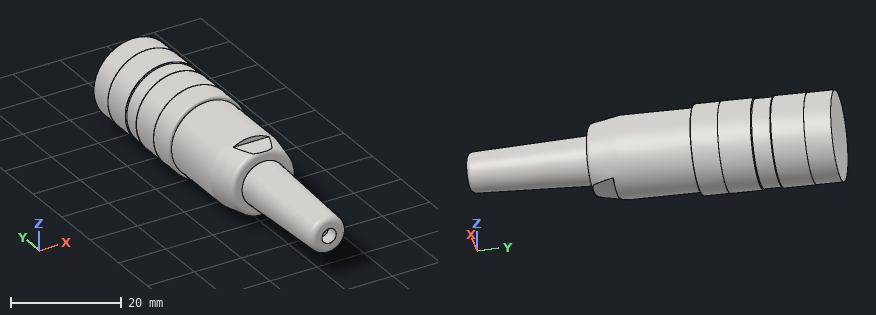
import cadquery as cq

length = 68.5

coupling_length = 26.1
sleeve_diameter = 16.9
band_diameter = 17.0
band_width = 6.1
band_gap = 3.8
groove_diameter = 16.6
band_inset = 5.0
coupling_fillet = 0.4

body_diameter = 15.55
body_cylinder_length = 13.7
nose_length = 5.9
nose_end_diameter = 13.4
nose_fillet = 0.95

cable_root_diameter = 9.3
cable_tip_diameter = 7.55
cable_tip_fillet = 1.15
cable_bore_diameter = 3.0
cable_bore_depth = 2.75

flat_spacing = 13.0
flat_length = 4.5

coupling_start = length - coupling_length
nose_start = coupling_start - body_cylinder_length
nose_end = nose_start - nose_length


def turned(start, end, start_diameter, end_diameter):
    """Cylinder or cone on the Y axis between two Y positions."""
    outline = [
        (0, start),
        (start_diameter / 2, start),
        (end_diameter / 2, end),
        (0, end),
    ]
    return cq.Workplane("XY").polyline(outline).close().revolve(360, (0, 0), (0, 1))


def make_coupling():
    coupling = turned(coupling_start, length, sleeve_diameter, sleeve_diameter)
    coupling = coupling.faces("<Y").edges().fillet(coupling_fillet)
    for index in range(2):
        band_end = length - band_inset - index * (band_width + band_gap)
        coupling = coupling.union(turned(band_end - band_width, band_end, band_diameter, band_diameter))
    return coupling.cut(make_groove_cutter())


def make_groove_cutter():
    """Ring that fills the gap between the bands down to the groove floor, with 45 degree walls."""
    groove_end = length - band_inset - band_width
    groove_start = groove_end - band_gap
    wall_height = (band_diameter - groove_diameter) / 2
    outline = [
        (groove_diameter / 2, groove_start + wall_height),
        (band_diameter / 2, groove_start),
        (band_diameter / 2, groove_end),
        (groove_diameter / 2, groove_end - wall_height),
    ]
    return cq.Workplane("XY").polyline(outline).close().revolve(360, (0, 0), (0, 1))


def make_body():
    cylinder = turned(nose_start, coupling_start, body_diameter, body_diameter)
    nose = turned(nose_end, nose_start, nose_end_diameter, body_diameter)
    nose = nose.faces("<Y").edges().fillet(nose_fillet)
    for side in (1, -1):
        nose = nose.cut(make_flat_cutter(side))
    return cylinder.union(nose)


def make_flat_cutter(side):
    """Block that leaves one wrench flat on the given side (+1 or -1) of Z."""
    center = (0, nose_end + flat_length / 2, side * (flat_spacing + body_diameter) / 2)
    return cq.Workplane("XY").box(body_diameter, flat_length, body_diameter).translate(center)


def make_cable_sleeve():
    sleeve = turned(0, nose_end, cable_tip_diameter, cable_root_diameter)
    return sleeve.faces("<Y").edges().fillet(cable_tip_fillet)


plug = make_coupling().union(make_body()).union(make_cable_sleeve())
cable_bore = turned(0, cable_bore_depth, cable_bore_diameter, cable_bore_diameter)
result = plug.cut(cable_bore)